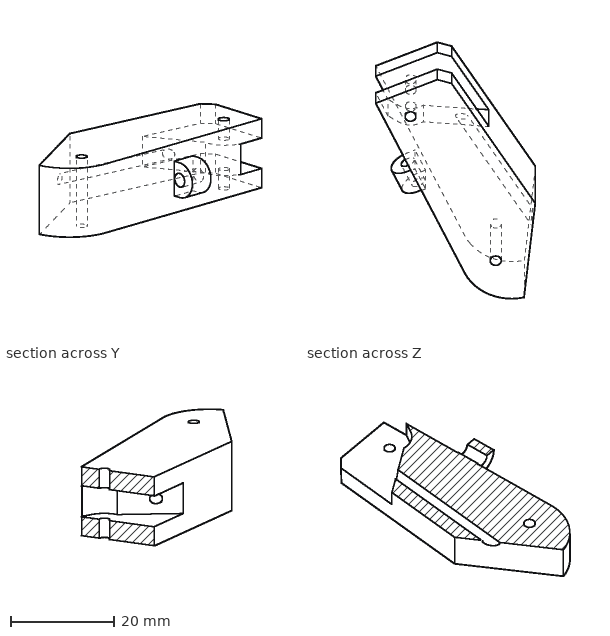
import cadquery as cq
import math

height = 14.0
length = 51.85
nose_radius = 10.0
tip_x = -8.25
corner_x, corner_y = -18.95, 18.5
chamfer_side_x, chamfer_side_y = -15.25, 49.95
chamfer_end_x = -13.05
nose_center_y = math.sqrt(nose_radius**2 - (tip_x + nose_radius) ** 2)

pin_diameter = 2.15
pivot_x, pivot_y = -4.95, 46.35
lower_pin_x, lower_pin_y = -6.65, nose_center_y

slot_height = 6.15
floor_start_y = 36.0
floor_angle = 29.0
crest_y = 42.25
clearance_radius = 4.25
wall_angle = 58.0
overrun = 5.2

cord_diameter = 2.0
cord_x, cord_y = -15.35, 12.25
cord_reach = 31.1

eye_diameter = 2.75
eye_radius = 3.55
eye_x = 1.5
eye_start_y = 28.35
eye_thickness = 5.0

side_dx = chamfer_side_x - corner_x
side_dy = chamfer_side_y - corner_y
side_length = math.hypot(side_dx, side_dy)
side_direction = (side_dx / side_length, side_dy / side_length)


def make_body():
    tip_angle = math.atan2(-nose_center_y, tip_x + nose_radius)
    nose_mid = (
        nose_radius * (math.cos(tip_angle / 2) - 1),
        nose_center_y + nose_radius * math.sin(tip_angle / 2),
    )
    return (
        cq.Workplane("XY", origin=(0, 0, -height / 2))
        .moveTo(tip_x, 0)
        .threePointArc(nose_mid, (0, nose_center_y))
        .lineTo(0, length)
        .lineTo(chamfer_end_x, length)
        .lineTo(chamfer_side_x, chamfer_side_y)
        .lineTo(corner_x, corner_y)
        .close()
        .extrude(height)
    )


def make_slot():
    floor_slope = math.tan(math.radians(floor_angle))
    wall_slope = math.tan(math.radians(wall_angle))
    floor_start_x = corner_x + (floor_start_y - corner_y) * side_dx / side_dy
    crest_x = floor_start_x + (crest_y - floor_start_y) / floor_slope
    wall_x = pivot_x + clearance_radius * math.sin(math.radians(wall_angle))
    wall_y = pivot_y - clearance_radius * math.cos(math.radians(wall_angle))
    clearance = (
        cq.Workplane("XY", origin=(0, 0, -slot_height / 2))
        .center(pivot_x, pivot_y)
        .circle(clearance_radius)
        .extrude(slot_height)
    )
    opening = (
        cq.Workplane("XY", origin=(0, 0, -slot_height / 2))
        .moveTo(floor_start_x - overrun, floor_start_y - overrun * floor_slope)
        .lineTo(crest_x, crest_y)
        .lineTo(pivot_x, pivot_y)
        .lineTo(wall_x, wall_y)
        .lineTo(overrun, wall_y + (overrun - wall_x) * wall_slope)
        .lineTo(overrun, length + overrun)
        .lineTo(floor_start_x - overrun, length + overrun)
        .close()
        .extrude(slot_height)
    )
    return opening.union(clearance)


def make_pin_holes():
    return (
        cq.Workplane("XY", origin=(0, 0, -height / 2))
        .pushPoints([(pivot_x, pivot_y), (lower_pin_x, lower_pin_y)])
        .circle(pin_diameter / 2)
        .extrude(height)
    )


def make_cord_hole():
    dx, dy = side_direction
    start = cq.Vector(cord_x - overrun * dx, cord_y - overrun * dy, 0)
    return cq.Workplane(
        cq.Solid.makeCylinder(cord_diameter / 2, cord_reach + overrun, start, cq.Vector(dx, dy, 0))
    )


def make_eyelet():
    face = cq.Workplane("XZ", origin=(0, eye_start_y, 0))
    tab = (
        face.moveTo(0, -eye_radius)
        .lineTo(eye_x, -eye_radius)
        .threePointArc((eye_x + eye_radius, 0), (eye_x, eye_radius))
        .lineTo(0, eye_radius)
        .close()
        .extrude(-eye_thickness)
    )
    hole = face.center(eye_x, 0).circle(eye_diameter / 2).extrude(-eye_thickness)
    return tab.cut(hole)


body = make_body().cut(make_slot()).cut(make_pin_holes()).cut(make_cord_hole())
result = body.union(make_eyelet())